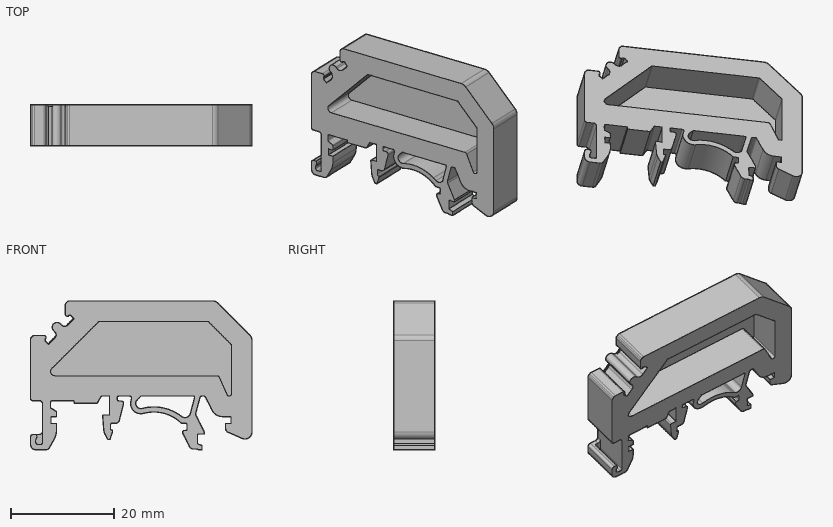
import cadquery as cq
import math

length = 43.0
width = 8.0
height = 28.9

ceiling_z = 10.4
shoulder_z = 9.5
catch_top_z = 6.4
catch_bottom_z = 5.1
shoulder_x = 6.75
edge_chamfer = 0.55
blend_round = 0.55

lobe_x = 5.15
lobe_z = 23.8
lobe_radius = 0.95
notch_depth = 1.2
notch_half_width = 3.5
neck_round = 0.9
lip_length = 0.65
lip_height = 0.17
lip_round = 0.45
lip_z = 25.9
ledge_height = 0.17
ledge_width = 0.3

leg_left_x = 2.32
leg_right_x = 3.9
tooth_x = 5.07
lip_top_z = 3.0
slot_x = 1.05
slot_floor_z = 1.05
web_width = 0.9

pad_z = 9.0
pad_left_x = 8.5
pad_right_x = 12.95
middle_left_x = 15.3
middle_ledge_z = 6.8
middle_ledge_x = 13.98
middle_tip_z = 1.98
middle_catch_x = 15.55
groove_x = 16.85

latch_catch_x = 30.35
tooth_top_z = 3.8
latch_tip_x = 33.32
tool_slot_x = 32.42
tool_slot_top_z = 3.05
tool_slot_bottom_z = 1.2
foot_left_x = 37.85
foot_catch_x = 38.87

strip = 1.05
bow_x = 23.95
bow_z = -0.35
bow_inner = 7.65
bow_outer = bow_inner + strip
curl_inner = 1.0
curl_outer = curl_inner + strip
curl_direction = math.radians(105.1)
curl_root = math.radians(165)
bow_end = math.radians(56)
stem_x = 31.9
stem_tilt = math.tan(math.radians(15))
curl_x = bow_x + (bow_inner + curl_outer) * math.cos(curl_direction)
curl_z = bow_z + (bow_inner + curl_outer) * math.sin(curl_direction)

recess_depth = 6.95
recess_top_z = 24.9
recess_floor_z = 14.35
recess_left_x = 2.75
recess_right_x = 39.0
recess_step_x = 36.5
recess_tip_z = 8.85
recess_slant_x = 34.5
recess_round = 0.2
recess_tip_round = 0.45
recess_left_round = 0.8

slant_x = 35.95
slant_round = 1.5

seam_x = 21.5


def polar(x, z, radius, angle):
    return (x + radius * math.cos(angle), z + radius * math.sin(angle))


def add_corners(path, corners):
    """Continue a path through (x, z, radius) corners, rounding each with a tangent arc.

    The first corner is where the path stands and the last is where it ends; both stay sharp.
    """
    for before, corner, after in zip(corners, corners[1:], corners[2:]):
        x, z, radius = corner
        if radius == 0:
            path = path.lineTo(x, z)
            continue
        angle_in = math.atan2(before[1] - z, before[0] - x)
        angle_out = math.atan2(after[1] - z, after[0] - x)
        half = math.acos(math.cos(angle_in - angle_out)) / 2
        tangent = radius / math.tan(half)
        middle = math.atan2(
            math.sin(angle_in) + math.sin(angle_out),
            math.cos(angle_in) + math.cos(angle_out),
        )
        reach = radius / math.sin(half) - radius
        path = path.lineTo(*polar(x, z, tangent, angle_in))
        path = path.threePointArc(polar(x, z, reach, middle), polar(x, z, tangent, angle_out))
    return path.lineTo(corners[-1][0], corners[-1][1])


def add_arc(path, x, z, radius, start, end):
    return path.threePointArc(polar(x, z, radius, (start + end) / 2), polar(x, z, radius, end))


def mirror_in_notch(point):
    x, z, radius = point
    return (lobe_x - (z - lobe_z), lobe_z - (x - lobe_x), radius)


def notch_point(along, outward, radius=0.0):
    """Point given along the notch floor (up and right) and outward (up and left) from the lobe centre."""
    diagonal = math.sqrt(0.5)
    return (lobe_x + (along - outward) * diagonal, lobe_z + (along + outward) * diagonal, radius)


def start_path(x, z, back=width):
    """Start an outline in the XZ plane at the given distance behind the front face."""
    return cq.Workplane("XZ", origin=(0, back, 0)).moveTo(x, z)


def extruded(path, depth):
    """Close the path and extrude it toward the front (-Y)."""
    return path.close().extrude(depth)


def upper_notch_corners():
    """Upper half of the marker notch, from the housing shoulder to the lobe."""
    lip_x = shoulder_x + lip_length
    pocket_z = lip_z + lip_height
    wall_x, wall_z, _ = notch_point(notch_half_width, 0)
    return [
        (shoulder_x, lip_z, lip_round),
        (lip_x, lip_z, 0),
        (lip_x, pocket_z, 0),
        (wall_x + wall_z - pocket_z, pocket_z, 0),
        notch_point(notch_half_width, -notch_depth),
        notch_point(lobe_radius, -notch_depth, neck_round),
        notch_point(lobe_radius, 0),
    ]


def housing_top_corners():
    return [
        (seam_x, height, 0),
        (shoulder_x + edge_chamfer, height, blend_round),
        (shoulder_x, height - edge_chamfer, blend_round),
    ]


def left_block_corners(block_top_z):
    return [
        (edge_chamfer, block_top_z, blend_round),
        (0, block_top_z - edge_chamfer, blend_round),
        (0, shoulder_z, 0.45),
        (leg_left_x, shoulder_z, blend_round),
    ]


def hook_corners():
    """Hook with its upturned lip, then up the toothed rail side to the housing."""
    return [
        (leg_left_x, slot_floor_z, 0.35),
        (slot_x, slot_floor_z, 0.45),
        (slot_x, 1.9, 0),
        (1.3, 2.55, 0.15),
        (1.1, lip_top_z, 0),
        (0, lip_top_z, blend_round),
        (0, 0, 1.05),
        (3.5, 0, 0.77),
        (tooth_x, 2.9, 3.25),
        (tooth_x, catch_bottom_z, 0),
        (4.0, catch_bottom_z, 0),
        (4.0, catch_top_z, 0),
        (tooth_x, catch_top_z, 0.1),
        (tooth_x, 7.45, 0.1),
        (leg_right_x, 8.13, 0.1),
        (leg_right_x, shoulder_z, 0.35),
    ]


def pad_corners():
    return [
        (pad_left_x - 0.1, shoulder_z, 0),
        (pad_left_x, pad_z, 0),
        (pad_right_x, pad_z, 0),
        (13.75, ceiling_z, 0.1),
    ]


def middle_leg_corners():
    return [
        (middle_left_x, ceiling_z, 0),
        (middle_left_x, middle_ledge_z, 0),
        (middle_ledge_x, middle_ledge_z, 0.25),
        (14.25, 3.45, 2.15),
        (15.0, middle_tip_z, 0),
        (15.45, middle_tip_z, 0),
        (15.95, 3.53, 0),
        (15.95, tooth_top_z, 0.1),
        (middle_catch_x, 3.9, 0.1),
        (middle_catch_x, catch_bottom_z, 0.2),
        (17.1, catch_bottom_z, 0.77),
        (18.25, shoulder_z, 0.5),
        (groove_x, shoulder_z, 0.3),
        (groove_x, ceiling_z, 0.3),
    ]


def curl_root_corners():
    """Straight strip from the ceiling, tangent to the outside of the curl."""
    x, z = polar(curl_x, curl_z, curl_outer, curl_root)
    return [(x + (ceiling_z - z) * stem_tilt, ceiling_z, 0.4), (x, z, 0)]


def latch_corners():
    """Latch from its catch, around the tool slot, up the stem to the ceiling."""
    return [
        (latch_catch_x, catch_bottom_z, 0.2),
        (latch_catch_x, tooth_top_z, 0.2),
        (29.75, tooth_top_z, 0),
        (29.55, 3.55, 0.1),
        (29.55, 3.2, 0.1),
        (31.1, 0.15, 0.85),
        (32.2, 0.15, 0),
        (32.65, 0, 0),
        (latch_tip_x, 0, 0),
        (latch_tip_x, 0.8, 0),
        (tool_slot_x, tool_slot_bottom_z, 0),
        (tool_slot_x, tool_slot_top_z, 0.17),
        (33.75, tool_slot_top_z, 0),
        (33.75, 3.5, 0),
        (32.05, 6.9, 0.65),
        (stem_x + 1.08, ceiling_z, 0.45),
    ]


def right_foot_corners():
    """Right foot, then up the right end and over the slanted corner."""
    return [
        (33.85, ceiling_z, 0.2),
        (35.85, catch_top_z, 2.32),
        (foot_catch_x, catch_top_z, 0),
        (foot_catch_x, catch_bottom_z, 0),
        (foot_left_x, catch_bottom_z, 0),
        (foot_left_x, 3.6, 0.8),
        (length, 1.35, 1.38),
        (length, height - (length - slant_x), slant_round),
        (slant_x, height, slant_round),
        (seam_x, height, 0),
    ]


def outer_body():
    """Full-width body, traced counterclockwise from the top edge."""
    upper_notch = upper_notch_corners()
    lower_notch = [mirror_in_notch(corner) for corner in reversed(upper_notch)]
    left_block = left_block_corners(lower_notch[-1][1])
    rail_side = hook_corners() + pad_corners() + middle_leg_corners() + curl_root_corners()
    foot_angle = math.asin((catch_bottom_z - bow_z) / bow_inner)
    bow_foot = polar(bow_x, bow_z, bow_inner, foot_angle)

    path = start_path(seam_x, height)
    path = add_corners(path, housing_top_corners() + upper_notch)
    path = add_arc(path, lobe_x, lobe_z, lobe_radius, math.radians(45), math.radians(225))
    path = add_corners(path, lower_notch + left_block + rail_side)
    path = add_arc(path, curl_x, curl_z, curl_outer, curl_root, curl_direction + math.pi)
    path = add_arc(path, bow_x, bow_z, bow_inner, curl_direction, foot_angle)
    path = add_corners(path, [bow_foot] + latch_corners() + right_foot_corners())
    return extruded(path, width)


def spring_window():
    """Opening between the spring strip, the housing and the latch stem."""
    bow_start = polar(bow_x, bow_z, bow_outer, curl_direction)
    bow_stop = polar(bow_x, bow_z, bow_outer, bow_end)
    fall = 1 / math.tan(bow_end)
    run = (stem_x - (ceiling_z - bow_stop[1]) * stem_tilt - bow_stop[0]) / (1 + fall * stem_tilt)
    corner = (bow_stop[0] + run, bow_stop[1] - run * fall, 1.05)

    ramp_start = polar(curl_x, curl_z, curl_inner, math.radians(135))
    ramp_top_x = ramp_start[0] + ceiling_z - ramp_start[1]

    path = start_path(*bow_start)
    path = add_arc(path, bow_x, bow_z, bow_outer, curl_direction, bow_end)
    path = add_corners(
        path,
        [bow_stop, corner, (stem_x, ceiling_z, 0.25), (ramp_top_x, ceiling_z, 0), ramp_start],
    )
    path = add_arc(path, curl_x, curl_z, curl_inner, math.radians(135), curl_direction + math.pi)
    return extruded(path, width)


def recess():
    """Pocket open toward the front, leaving a thin wall at the back."""
    slope_run = recess_top_z - recess_floor_z
    slant_end_z = recess_top_z - (recess_right_x - recess_slant_x)
    corners = [
        (seam_x, recess_top_z, 0),
        (recess_slant_x, recess_top_z, recess_round),
        (recess_right_x, slant_end_z, recess_round),
        (recess_right_x, recess_tip_z, recess_tip_round),
        (recess_step_x, recess_floor_z, recess_tip_round),
        (recess_left_x, recess_floor_z, recess_left_round),
        (recess_left_x + slope_run, recess_top_z, recess_round),
        (seam_x, recess_top_z, 0),
    ]
    path = start_path(seam_x, recess_top_z, recess_depth)
    return extruded(add_corners(path, corners), recess_depth)


def notch_ledge(side):
    """Thin step on the notch floor at the back, on one side of the lobe."""
    corners = [
        notch_point(side * along, outward)
        for along, outward in (
            (lobe_radius, -notch_depth),
            (notch_half_width, -notch_depth),
            (notch_half_width, ledge_height - notch_depth),
            (lobe_radius, ledge_height - notch_depth),
        )
    ]
    path = add_corners(start_path(*corners[0][:2]), corners)
    return extruded(path, ledge_width)


def hook_web():
    """Wall closing the hook slot at the back, with a fillet up to the leg."""
    overlap = 0.45
    left = slot_x - overlap
    right = leg_left_x + overlap
    bottom = slot_floor_z - overlap
    top = lip_top_z + 2 * blend_round
    corners = [
        (left, bottom, 0),
        (left, lip_top_z, 0),
        (leg_left_x, lip_top_z, blend_round),
        (leg_left_x, top, 0),
        (right, top, 0),
        (right, bottom, 0),
    ]
    path = add_corners(start_path(left, bottom), corners)
    return extruded(path, web_width)


result = (
    outer_body()
    .cut(spring_window())
    .cut(recess())
    .union(notch_ledge(1))
    .union(notch_ledge(-1))
    .union(hook_web())
)